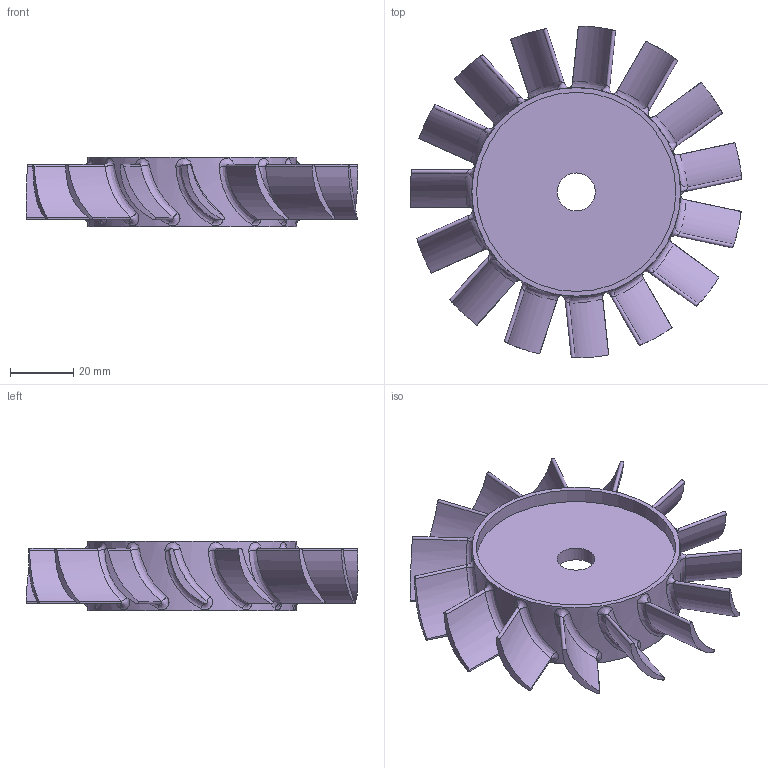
import cadquery as cq
import math

HUB_DIAMETER = 66.0
HUB_HEIGHT = 22.0
TOP_RECESS_DIAMETER = 63.0
TOP_RECESS_DEPTH = 4.5
BOTTOM_RECESS_DIAMETER = 60.0
WEB_THICKNESS = 4.5
BORE_DIAMETER = 12.0

BLADE_COUNT = 15
TIP_DIAMETER = 105.0
ROOT_FILLET = 2.0
ROOT_OVERLAP = 1.5
TIP_OVERSIZE = 2.0

CONVEX_TOP = (-7.05, 8.0)
CONVEX_MIDDLE = (-4.1, -1.6)
CONVEX_BOTTOM = (3.9, -8.55)
CONCAVE_TOP = (-5.85, 8.2)
CONCAVE_MIDDLE = (-2.15, -0.65)
CONCAVE_BOTTOM = (4.75, -7.95)


def end_round_crown(start, end):
    """Crown of the half circle from start to end, bulging to the right of that direction."""
    half_x = (end[0] - start[0]) / 2
    half_z = (end[1] - start[1]) / 2
    return (start[0] + half_x + half_z, start[1] + half_z - half_x)


def make_blade_stock():
    """Blade section extruded along -X, from inside the hub wall past the tip."""
    start_x = HUB_DIAMETER / 2 - ROOT_OVERLAP
    length = TIP_DIAMETER / 2 + TIP_OVERSIZE - start_x
    section_plane = cq.Plane(origin=(-start_x, 0, 0), xDir=(0, -1, 0), normal=(-1, 0, 0))
    return (
        cq.Workplane(section_plane)
        .moveTo(*CONVEX_TOP)
        .threePointArc(CONVEX_MIDDLE, CONVEX_BOTTOM)
        .threePointArc(end_round_crown(CONVEX_BOTTOM, CONCAVE_BOTTOM), CONCAVE_BOTTOM)
        .threePointArc(CONCAVE_MIDDLE, CONCAVE_TOP)
        .threePointArc(end_round_crown(CONCAVE_TOP, CONVEX_TOP), CONVEX_TOP)
        .close()
        .extrude(length)
    )


def disc(diameter, bottom, height):
    """Plain cylinder on the Z axis."""
    return cq.Workplane("XY").workplane(offset=bottom).circle(diameter / 2).extrude(height)


def is_root_edge(edge):
    """True for an edge where a blade meets the outer hub surface."""
    tolerance = 0.01
    ends = [edge.startPoint(), edge.endPoint(), edge.positionAt(0.5)]
    on_hub = all(abs(math.hypot(p.x, p.y) - HUB_DIAMETER / 2) < tolerance for p in ends)
    inside_rims = all(abs(p.z) < HUB_HEIGHT / 2 - tolerance for p in ends)
    return on_hub and inside_rims


def make_bladed_disc():
    """Solid hub with all the blades, trimmed at the tips and filleted at the roots."""
    body = disc(HUB_DIAMETER, -HUB_HEIGHT / 2, HUB_HEIGHT)
    stock = make_blade_stock()
    pitch = 360 / BLADE_COUNT
    for index in range(BLADE_COUNT):
        body = body.union(stock.rotate((0, 0, 0), (0, 0, 1), index * pitch))
    body = body.intersect(disc(TIP_DIAMETER, -HUB_HEIGHT / 2, HUB_HEIGHT))
    root_edges = [edge for edge in body.edges().vals() if is_root_edge(edge)]
    return body.newObject(root_edges).fillet(ROOT_FILLET)


def cut_recesses(body):
    """Recess both faces of the hub, leaving a web pierced by the bore."""
    web_top = HUB_HEIGHT / 2 - TOP_RECESS_DEPTH
    web_bottom = web_top - WEB_THICKNESS
    bottom_depth = web_bottom + HUB_HEIGHT / 2
    top_recess = disc(TOP_RECESS_DIAMETER, web_top, TOP_RECESS_DEPTH)
    bottom_recess = disc(BOTTOM_RECESS_DIAMETER, -HUB_HEIGHT / 2, bottom_depth)
    bore = disc(BORE_DIAMETER, web_bottom, WEB_THICKNESS)
    return body.cut(top_recess).cut(bottom_recess).cut(bore)


result = cut_recesses(make_bladed_disc())